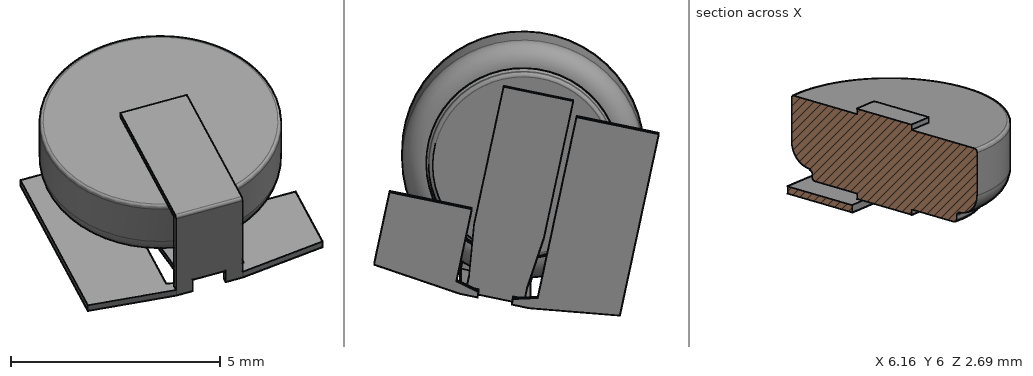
import cadquery as cq

length = 6.16
total_height = 2.69
pad_span = 6.0

strap_thickness = 0.135
strap_half_width = 0.85
bend_radius = 0.075
wall_inner_x = length - strap_thickness
top_strap_start = 2.44

tongue_bottom = 0.38
tongue_start = 1.09
taper_start = 4.51
taper_end = 5.77
tongue_end_half_width = 0.71
slot_half_width = 0.42

pad_thickness = 0.2
pad_half_span = pad_span / 2
pad_inner_y = 0.99
pad_corner_x = 5.89
arm_start_x = 5.875
front_pad_start = 1.385
back_pad_start = 4.09

cell_radius = 5.78 / 2
cell_bottom = tongue_bottom + strap_thickness
cell_top = total_height - strap_thickness
top_rounding = 0.085
can_rounding = 0.58
can_bottom = 0.795
collar_radius = 4.625 / 2
cap_radius = 4.51 / 2
collar_bottom = 0.765
collar_fillet = collar_radius - cap_radius
cap_rounding = 0.1


def arc_mid(center_r, center_z, radius, sign_r, sign_z):
    """Midpoint of a quarter arc in the quadrant given by the two signs."""
    offset = radius * 0.5 ** 0.5
    return (center_r + sign_r * offset, center_z + sign_z * offset)


def make_cell():
    """Button cell: a rounded can above a thin collar and a smaller cap."""
    can_center_r = cell_radius - can_rounding
    can_center_z = can_bottom + can_rounding
    cap_center_r = cap_radius - cap_rounding
    cap_center_z = cell_bottom + cap_rounding
    fillet_center_z = collar_bottom - collar_fillet
    top_center_r = cell_radius - top_rounding
    top_center_z = cell_top - top_rounding
    profile = (
        cq.Workplane("XZ")
        .moveTo(0, cell_bottom)
        .lineTo(cap_center_r, cell_bottom)
        .threePointArc(
            arc_mid(cap_center_r, cap_center_z, cap_rounding, 1, -1),
            (cap_radius, cap_center_z),
        )
        .lineTo(cap_radius, fillet_center_z)
        .threePointArc(
            arc_mid(collar_radius, fillet_center_z, collar_fillet, -1, 1),
            (collar_radius, collar_bottom),
        )
        .lineTo(collar_radius, can_bottom)
        .lineTo(can_center_r, can_bottom)
        .threePointArc(
            arc_mid(can_center_r, can_center_z, can_rounding, 1, -1),
            (cell_radius, can_center_z),
        )
        .lineTo(cell_radius, top_center_z)
        .threePointArc(
            arc_mid(top_center_r, top_center_z, top_rounding, 1, 1),
            (top_center_r, cell_top),
        )
        .lineTo(0, cell_top)
        .close()
    )
    cell = profile.revolve(360, (0, 0, 0), (0, 1, 0))
    return cell.translate((cell_radius, 0, 0))


def make_bracket():
    """Top strap bent down into the wall, slotted between its two legs."""
    bracket = (
        cq.Workplane("XZ")
        .moveTo(top_strap_start, total_height)
        .lineTo(length, total_height)
        .lineTo(length, 0)
        .lineTo(wall_inner_x, 0)
        .lineTo(wall_inner_x, cell_top)
        .lineTo(top_strap_start, cell_top)
        .close()
        .extrude(strap_half_width, both=True)
        .edges("|Y and >X and >Z")
        .fillet(bend_radius)
    )
    slot = cq.Workplane("XY").box(
        strap_thickness, 2 * slot_half_width, tongue_bottom, centered=(False, True, False)
    )
    return bracket.cut(slot.translate((wall_inner_x, 0, 0)))


def make_tongue():
    """Contact tongue under the cell, narrowing where it meets the wall."""
    return (
        cq.Workplane("XY", origin=(0, 0, tongue_bottom))
        .moveTo(tongue_start, -strap_half_width)
        .lineTo(taper_start, -strap_half_width)
        .lineTo(taper_end, -tongue_end_half_width)
        .lineTo(length, -tongue_end_half_width)
        .lineTo(length, tongue_end_half_width)
        .lineTo(taper_end, tongue_end_half_width)
        .lineTo(taper_start, strap_half_width)
        .lineTo(tongue_start, strap_half_width)
        .close()
        .extrude(strap_thickness)
    )


def make_pad(start_x, side):
    """Solder pad on one side (+1 or -1 in Y), with an arm to its wall leg."""
    outline = [
        (start_x, side * pad_inner_y),
        (start_x, side * pad_half_span),
        (pad_corner_x, side * pad_half_span),
        (length, side * strap_half_width),
        (length, side * slot_half_width),
        (wall_inner_x, side * slot_half_width),
        (arm_start_x, side * pad_inner_y),
    ]
    return cq.Workplane("XY").polyline(outline).close().extrude(pad_thickness)


result = (
    make_cell()
    .union(make_bracket())
    .union(make_tongue())
    .union(make_pad(front_pad_start, -1))
    .union(make_pad(back_pad_start, 1))
)